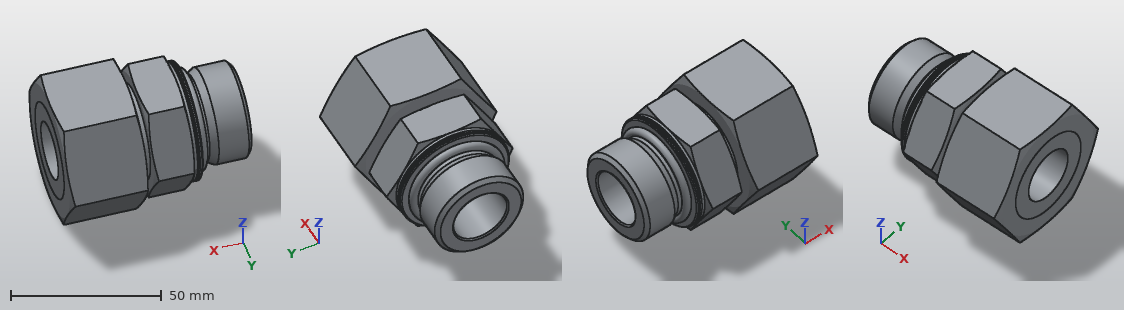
import cadquery as cq
import math

total_length = 65.5

bore_radius = 10.0
bore_chamfer = 0.5

thread_radius = 16.65
end_chamfer_length = 1.4
end_chamfer_depth = 1.5
thread_end_x = 11.8
neck_radius = 15.05
thread_runout_angle = 30.0

ring_section_radius = 1.6
ring_outer_radius = 17.8
ring_center_x = 17.2
ring_center_radius = ring_outer_radius - ring_section_radius

collar_start_x = 18.35
collar_radius = 20.45
collar_chamfer = 0.45
groove_start_x = 19.45
groove_width = 0.9
groove_depth = 0.3

body_hex_start_x = 21.55
body_hex_end_x = 35.55
body_hex_flats = 41.0
nut_start_x = 38.45
nut_flats = 46.0
hex_chamfer_angle = 15.0
hex_half_corner_angle = 30.0

stem_radius = thread_radius


def revolve_about_x(outline):
    """Turn a closed (x, radius) outline into a solid of revolution about X."""
    return outline.close().revolve(360, (0, 0, 0), (1, 0, 0))


def chamfered_hexagon(start_x, end_x, flats):
    """Hexagonal prism along X, corners on +Y and -Y, both ends turned to a cone."""
    flat_radius = flats / 2
    corner_radius = flat_radius / math.cos(math.radians(hex_half_corner_angle))
    cone_length = (corner_radius - flat_radius) * math.tan(math.radians(hex_chamfer_angle))
    prism = (
        cq.Workplane("YZ", origin=(start_x, 0, 0))
        .polygon(6, 2 * corner_radius)
        .extrude(end_x - start_x)
    )
    turned_envelope = revolve_about_x(
        cq.Workplane("XY")
        .moveTo(start_x, 0)
        .lineTo(start_x, flat_radius)
        .lineTo(start_x + cone_length, corner_radius)
        .lineTo(end_x - cone_length, corner_radius)
        .lineTo(end_x, flat_radius)
        .lineTo(end_x, 0)
    )
    return prism.intersect(turned_envelope)


def make_ring():
    """O-ring seated on the neck and against the collar."""
    return (
        cq.Workplane("XY")
        .center(ring_center_x, ring_center_radius)
        .circle(ring_section_radius)
        .revolve(360, (0, -ring_center_radius, 0), (1, -ring_center_radius, 0))
    )


def turned_front():
    """Threaded end, neck and grooved collar as one turned shape."""
    runout_length = (thread_radius - neck_radius) / math.tan(math.radians(thread_runout_angle))
    groove_end_x = groove_start_x + groove_width
    return revolve_about_x(
        cq.Workplane("XY")
        .moveTo(0, 0)
        .lineTo(0, thread_radius - end_chamfer_depth)
        .lineTo(end_chamfer_length, thread_radius)
        .lineTo(thread_end_x, thread_radius)
        .lineTo(thread_end_x + runout_length, neck_radius)
        .lineTo(collar_start_x, neck_radius)
        .lineTo(collar_start_x, collar_radius - collar_chamfer)
        .lineTo(collar_start_x + collar_chamfer, collar_radius)
        .lineTo(groove_start_x, collar_radius)
        .lineTo(groove_start_x + groove_width / 2, collar_radius - groove_depth)
        .lineTo(groove_end_x, collar_radius)
        .lineTo(body_hex_start_x, collar_radius)
        .lineTo(body_hex_start_x, 0)
    )


def bore_cutter():
    """Through bore with a chamfered mouth at the threaded end."""
    return revolve_about_x(
        cq.Workplane("XY")
        .moveTo(0, 0)
        .lineTo(0, bore_radius + bore_chamfer)
        .lineTo(bore_chamfer, bore_radius)
        .lineTo(total_length, bore_radius)
        .lineTo(total_length, 0)
    )


def make_stem():
    """Cylinder from the hexagon to the far face of the nut."""
    return (
        cq.Workplane("YZ", origin=(body_hex_end_x, 0, 0))
        .circle(stem_radius)
        .extrude(total_length - body_hex_end_x)
    )


def make_fitting(ring):
    """Fitting body: threaded end, collar, hexagon and stem, with a seat for the O-ring."""
    blank = (
        turned_front()
        .union(chamfered_hexagon(body_hex_start_x, body_hex_end_x, body_hex_flats))
        .union(make_stem())
    )
    return blank.cut(bore_cutter()).cut(ring)


def make_nut():
    """Union nut: chamfered hexagon bored to fit the stem."""
    stem_hole = (
        cq.Workplane("YZ", origin=(nut_start_x, 0, 0))
        .circle(stem_radius)
        .extrude(total_length - nut_start_x)
    )
    return chamfered_hexagon(nut_start_x, total_length, nut_flats).cut(stem_hole)


ring = make_ring()
fitting = make_fitting(ring)
nut = make_nut()

result = cq.Compound.makeCompound([fitting.solids().val(), ring.solids().val(), nut.solids().val()])